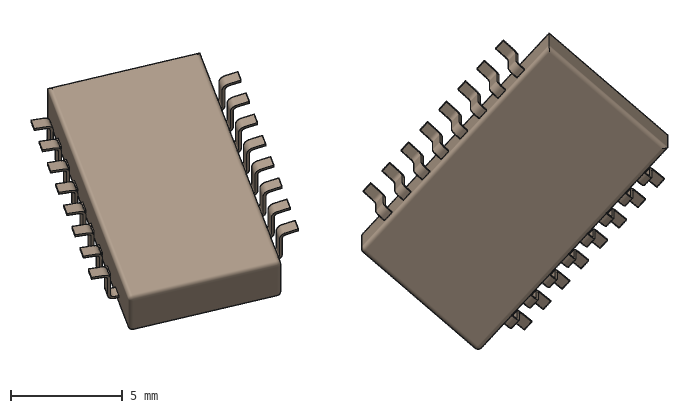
import cadquery as cq
import math

BODY_LENGTH = 12.7
BODY_WIDTH = 7.11
BODY_HEIGHT = 2.35
BODY_FILLET = 0.2

OVERALL_WIDTH = 9.65
OVERALL_HEIGHT = 2.4
LEADS_PER_ROW = 8
LEAD_PITCH = 1.27
LEAD_WIDTH = 0.51

LEAD_THICKNESS = 0.14
LEAD_BOTTOM = 0.51
ROOT_LENGTH = 0.18
ROOT_EMBED = 0.25
BEND_INNER_RADIUS = 0.2
BEND_OUTER_RADIUS = BEND_INNER_RADIUS + LEAD_THICKNESS
FOOT_TILT = 7.0


def make_body():
    """Block with rounded edges; the two upright edges at the -X end stay sharp."""
    block = cq.Workplane("XY").box(BODY_LENGTH, BODY_WIDTH, BODY_HEIGHT, centered=(True, True, False))
    return block.edges("not (|Z and <X)").fillet(BODY_FILLET)


def on_bend(center, radius, degrees):
    """Point on a bend, at an angle measured from +Y towards +Z."""
    angle = math.radians(degrees)
    return (center[0] + radius * math.cos(angle), center[1] + radius * math.sin(angle))


def make_lead():
    """One lead on the +Y side, centred on X = 0."""
    side = BODY_WIDTH / 2
    tip = OVERALL_WIDTH / 2
    tilt = math.radians(FOOT_TILT)

    lower_center = (side + ROOT_LENGTH, LEAD_BOTTOM + BEND_OUTER_RADIUS)
    riser_inner = lower_center[0] + BEND_INNER_RADIUS
    riser_outer = lower_center[0] + BEND_OUTER_RADIUS

    upper_center_y = riser_inner + BEND_OUTER_RADIUS
    foot_run = tip - upper_center_y + BEND_OUTER_RADIUS * math.sin(tilt)
    foot_start_z = OVERALL_HEIGHT - foot_run * math.tan(tilt)
    upper_center = (upper_center_y, foot_start_z - BEND_OUTER_RADIUS * math.cos(tilt))

    lower_middle = -45
    upper_end = 90 + FOOT_TILT
    upper_middle = (180 + upper_end) / 2

    root_bottom = (side - ROOT_EMBED, LEAD_BOTTOM)
    root_top = (side - ROOT_EMBED, LEAD_BOTTOM + LEAD_THICKNESS)
    foot_top = (tip, OVERALL_HEIGHT)
    foot_bottom = (tip, OVERALL_HEIGHT - LEAD_THICKNESS / math.cos(tilt))

    profile = (
        cq.Workplane("YZ")
        .moveTo(*root_bottom)
        .lineTo(lower_center[0], LEAD_BOTTOM)
        .threePointArc(
            on_bend(lower_center, BEND_OUTER_RADIUS, lower_middle),
            (riser_outer, lower_center[1]),
        )
        .lineTo(riser_outer, upper_center[1])
        .threePointArc(
            on_bend(upper_center, BEND_INNER_RADIUS, upper_middle),
            on_bend(upper_center, BEND_INNER_RADIUS, upper_end),
        )
        .lineTo(*foot_bottom)
        .lineTo(*foot_top)
        .lineTo(*on_bend(upper_center, BEND_OUTER_RADIUS, upper_end))
        .threePointArc(
            on_bend(upper_center, BEND_OUTER_RADIUS, upper_middle),
            (riser_inner, upper_center[1]),
        )
        .lineTo(riser_inner, lower_center[1])
        .threePointArc(
            on_bend(lower_center, BEND_INNER_RADIUS, lower_middle),
            (lower_center[0], LEAD_BOTTOM + LEAD_THICKNESS),
        )
        .lineTo(*root_top)
        .close()
    )
    return profile.extrude(LEAD_WIDTH / 2, both=True)


result = make_body()
back_lead = make_lead()
front_lead = back_lead.mirror("XZ")
first_lead_x = -(LEADS_PER_ROW - 1) * LEAD_PITCH / 2
for index in range(LEADS_PER_ROW):
    offset = (first_lead_x + index * LEAD_PITCH, 0, 0)
    result = result.union(back_lead.translate(offset))
    result = result.union(front_lead.translate(offset))